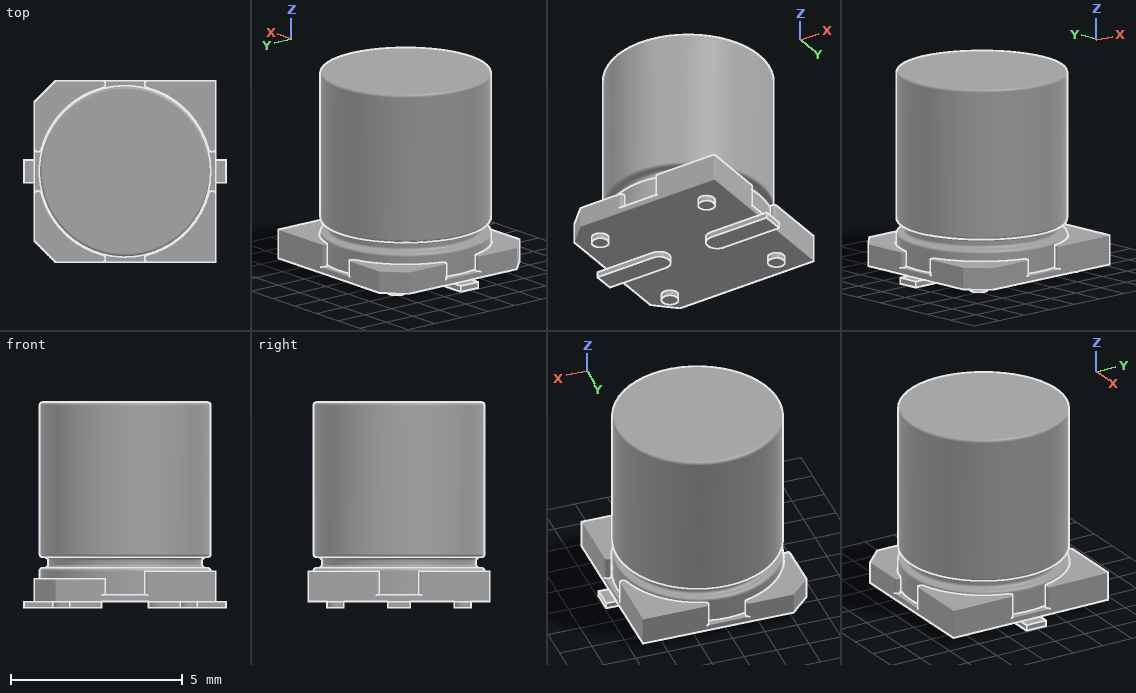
import cadquery as cq

total_height = 6.0
lead_span = 5.9
base_side = 5.3

can_diameter = 5.0
groove_diameter = 4.5
groove_bottom = 1.17
groove_top = 1.47
can_round = 0.1

standoff = 0.18
floor_height = 0.385
low_corner_height = 0.85
high_corner_height = 1.07
corner_cut = 0.625
notch_width = 1.14
notch_round = 0.1
edge_round = 0.025
can_clearance = 0.025

foot_diameter = 0.5
foot_offset = 1.855
lead_width = 0.665
lead_inner_end = 0.68

can_radius = can_diameter / 2
bore_radius = can_radius + can_clearance
groove_radius = groove_diameter / 2
half_side = base_side / 2


def make_can():
    """Round can with a rolled groove near its lower end."""
    shoulder_radius = can_radius - can_round
    root_radius = groove_radius + can_round
    lower_shoulder = groove_bottom - can_round
    upper_shoulder = groove_top + can_round
    profile = (
        cq.Workplane("XZ")
        .moveTo(0, floor_height)
        .lineTo(can_radius, floor_height)
        .lineTo(can_radius, lower_shoulder)
        .radiusArc((shoulder_radius, groove_bottom), -can_round)
        .lineTo(root_radius, groove_bottom)
        .radiusArc((groove_radius, groove_bottom + can_round), can_round)
        .lineTo(groove_radius, groove_top - can_round)
        .radiusArc((root_radius, groove_top), can_round)
        .lineTo(shoulder_radius, groove_top)
        .radiusArc((can_radius, upper_shoulder), -can_round)
        .lineTo(can_radius, total_height - can_round)
        .radiusArc((shoulder_radius, total_height), -can_round)
        .lineTo(0, total_height)
        .close()
    )
    return profile.revolve(360, (0, 0, 0), (0, 1, 0))


def make_outline(top):
    """Square prism up to the given height, with the two -X corners cut off."""
    return (
        cq.Workplane("XY")
        .workplane(offset=standoff)
        .rect(base_side, base_side)
        .extrude(top - standoff)
        .edges("|Z and <X")
        .chamfer(corner_cut)
        .edges("|Z")
        .fillet(edge_round)
    )


def make_corner(x_side, y_side, top):
    """Corner block that wraps the can, with rounded ends at the notches."""
    block_side = half_side - notch_width / 2
    block_centre = half_side - block_side / 2
    height = top - standoff
    bore = cq.Workplane("XY").workplane(offset=standoff).circle(bore_radius).extrude(height)
    block = (
        cq.Workplane("XY")
        .workplane(offset=standoff)
        .center(x_side * block_centre, y_side * block_centre)
        .rect(block_side, block_side)
        .extrude(height)
        .cut(bore)
    )
    outer_corner = cq.selectors.NearestToPointSelector(
        (x_side * half_side, y_side * half_side, (standoff + top) / 2)
    )
    upright_edges = cq.selectors.StringSyntaxSelector("|Z")
    notch_ends = cq.selectors.SubtractSelector(upright_edges, outer_corner)
    block = block.edges(notch_ends).fillet(notch_round)
    return block.intersect(make_outline(top)).faces(">Z").edges().fillet(edge_round)


def make_base():
    """Floor plate with low corner blocks at -X and high ones at +X."""
    base = make_outline(floor_height).faces(">Z").edges().fillet(edge_round)
    for y_side in (-1, 1):
        base = base.union(make_corner(-1, y_side, low_corner_height))
        base = base.union(make_corner(1, y_side, high_corner_height))
    return base.faces("<Z").edges().fillet(edge_round)


def make_feet():
    """Four round feet under the base corners."""
    return (
        cq.Workplane("XY")
        .rect(2 * foot_offset, 2 * foot_offset, forConstruction=True)
        .vertices()
        .circle(foot_diameter / 2)
        .extrude(standoff)
    )


def make_lead(x_side):
    """Flat lead, square outside the base and rounded at its inner end."""
    half_width = lead_width / 2
    outer_end = x_side * lead_span / 2
    round_start = x_side * (lead_inner_end + half_width)
    return (
        cq.Workplane("XY")
        .moveTo(outer_end, -half_width)
        .lineTo(round_start, -half_width)
        .threePointArc((x_side * lead_inner_end, 0), (round_start, half_width))
        .lineTo(outer_end, half_width)
        .close()
        .extrude(standoff)
    )


result = make_base().union(make_can()).union(make_feet())
for side in (-1, 1):
    result = result.union(make_lead(side))